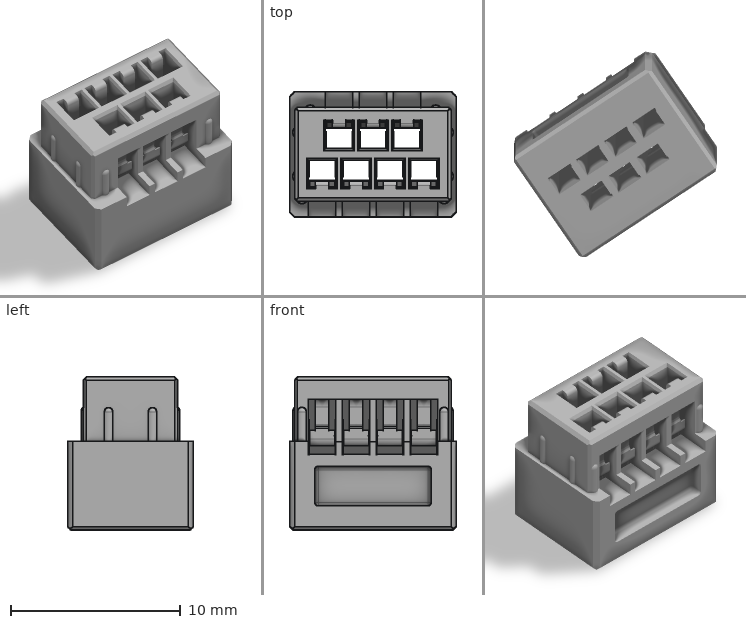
import cadquery as cq

BASE_X = 9.8
BASE_Y = 7.4
BASE_Z = 5.24
TOTAL_Z = 9.05
BASE_CORNER_CHAMFER = 0.29
BASE_BOTTOM_CHAMFER = 0.21
UPPER_X = 9.22
UPPER_Y = 5.54
UPPER_CORNER_CHAMFER = 0.17
UPPER_TOP_CHAMFER = 0.21

PITCH = 2.0
FRONT_COUNT = 4
BACK_COUNT = 3

SLOT_WIDTH = 1.63
SLOT_FLOOR_Z = 4.46
SLOT_CEILING_Z = 7.7
SLOT_INNER_Y = 1.32
POST_FACE_Y = 2.48
RIB_TOP_Z = 5.2

WINDOW_FLARE = 0.09
WINDOW_FLARE_Y = 0.14
WINDOW_FLARE_DEPTH = 0.2
CELL_INNER_Y = 0.35
CELL_OUTER_Y = 2.02
CELL_STEP = 0.05
CELL_STEP_Z = 6.5

TONGUE_WIDTH = 0.79
TONGUE_INNER_Y = 1.58
TONGUE_OUTER_Y = 1.85
TONGUE_TOP_RADIUS = 0.245
TONGUE_ROOT_RADIUS = 0.44
HOOK_WIDTH = 1.47
HOOK_INNER_Y = 1.53
HOOK_OUTER_Y = 1.99
HOOK_TOP_Z = 5.88
HOOK_BOTTOM_Z = 4.97
HOOK_RADIUS = 0.4
HOOK_RIDGE_Y = 1.9
HOOK_SLOPE = HOOK_RIDGE_Y - TONGUE_INNER_Y
STEP_TOP_Z = 6.23
STEP_MIDDLE_Y = 1.89
STEP_MIDDLE_Z = 6.11
STEP_BOTTOM_Z = 5.99

PIN_RADIUS = 0.3
PIN_PROUD_X = 0.12
PIN_PROUD_Y = 0.14
PIN_SHOULDER_Z = 6.98
FRONT_PIN_X = 4.18
BACK_PIN_X = 3.68
SIDE_PIN_Y = 1.29

POCKET_X = 6.84
POCKET_BOTTOM_Z = 1.43
POCKET_TOP_Z = 3.77
POCKET_DEPTH = 0.8
POCKET_RADIUS = 0.21


def block(x_range, y_range, z_range):
    """Box given by its lower and upper limits on each axis."""
    size = [high - low for low, high in (x_range, y_range, z_range)]
    corner = (x_range[0], y_range[0], z_range[0])
    return cq.Workplane("XY").box(*size, centered=False).translate(corner)


def centred_block(width, y_range, z_range):
    return block((-width / 2, width / 2), y_range, z_range)


def extrude_profile(profile, width):
    """Extrude a YZ profile equally to both sides of X = 0."""
    return profile.close().extrude(width / 2, both=True)


def make_base():
    base = cq.Workplane("XY").box(BASE_X, BASE_Y, BASE_Z, centered=(True, True, False))
    base = base.faces("<Z").edges().chamfer(BASE_BOTTOM_CHAMFER)
    return base.edges("|Z").chamfer(BASE_CORNER_CHAMFER)


def make_upper():
    upper = cq.Workplane("XY").box(UPPER_X, UPPER_Y, TOTAL_Z, centered=(True, True, False))
    upper = upper.faces(">Z").edges().chamfer(UPPER_TOP_CHAMFER)
    upper = upper.edges("|Z").chamfer(UPPER_CORNER_CHAMFER)
    return upper.intersect(centred_block(BASE_X, (-BASE_Y, BASE_Y), (BASE_Z / 2, TOTAL_Z)))


def make_pin(x, y):
    """Upright round rib with a domed tip."""
    shaft = cq.Workplane("XY").workplane(offset=BASE_Z / 2).circle(PIN_RADIUS)
    shaft = shaft.extrude(PIN_SHOULDER_Z - BASE_Z / 2)
    dome = cq.Workplane("XY").sphere(PIN_RADIUS).translate((0, 0, PIN_SHOULDER_Z))
    return shaft.union(dome).translate((x, y, 0))


def make_pins():
    wall_x = UPPER_X / 2 + PIN_PROUD_X - PIN_RADIUS
    wall_y = UPPER_Y / 2 + PIN_PROUD_Y - PIN_RADIUS
    pins = []
    for side in (-1, 1):
        pins.append(make_pin(side * FRONT_PIN_X, -wall_y))
        pins.append(make_pin(side * BACK_PIN_X, wall_y))
        for y in (-SIDE_PIN_Y, SIDE_PIN_Y):
            pins.append(make_pin(side * wall_x, y))
    return pins


def make_tongue():
    """Tongue and hook of one front cell, centred on X = 0."""
    root_y = -CELL_OUTER_Y
    strip = extrude_profile(
        cq.Workplane("YZ")
        .moveTo(root_y, TOTAL_Z)
        .lineTo(-TONGUE_INNER_Y - TONGUE_TOP_RADIUS, TOTAL_Z)
        .radiusArc((-TONGUE_INNER_Y, TOTAL_Z - TONGUE_TOP_RADIUS), TONGUE_TOP_RADIUS)
        .lineTo(-TONGUE_INNER_Y, HOOK_BOTTOM_Z + HOOK_RADIUS)
        .lineTo(-HOOK_OUTER_Y, HOOK_BOTTOM_Z + HOOK_RADIUS)
        .lineTo(-HOOK_OUTER_Y, STEP_BOTTOM_Z)
        .lineTo(-STEP_MIDDLE_Y, STEP_MIDDLE_Z)
        .lineTo(-TONGUE_OUTER_Y, STEP_TOP_Z)
        .lineTo(-TONGUE_OUTER_Y, SLOT_CEILING_Z - TONGUE_ROOT_RADIUS)
        .radiusArc((-TONGUE_OUTER_Y - TONGUE_ROOT_RADIUS, SLOT_CEILING_Z), -TONGUE_ROOT_RADIUS)
        .lineTo(-TONGUE_OUTER_Y - TONGUE_ROOT_RADIUS, SLOT_CEILING_Z + TONGUE_ROOT_RADIUS)
        .lineTo(root_y, SLOT_CEILING_Z + TONGUE_ROOT_RADIUS),
        TONGUE_WIDTH,
    )
    hook = extrude_profile(
        cq.Workplane("YZ")
        .moveTo(-HOOK_OUTER_Y, HOOK_TOP_Z)
        .lineTo(-HOOK_RIDGE_Y, HOOK_TOP_Z)
        .lineTo(-HOOK_RIDGE_Y + HOOK_SLOPE, HOOK_TOP_Z - HOOK_SLOPE)
        .lineTo(-HOOK_INNER_Y, HOOK_TOP_Z - HOOK_SLOPE)
        .lineTo(-HOOK_INNER_Y, HOOK_BOTTOM_Z)
        .lineTo(-HOOK_OUTER_Y + HOOK_RADIUS, HOOK_BOTTOM_Z)
        .radiusArc((-HOOK_OUTER_Y, HOOK_BOTTOM_Z + HOOK_RADIUS), HOOK_RADIUS),
        HOOK_WIDTH,
    )
    return strip.union(hook)


def make_window_flare():
    """Lead-in around the top of a front cell, straight on the tongue side."""
    flare = (
        cq.Workplane("XY")
        .workplane(offset=TOTAL_Z)
        .rect(SLOT_WIDTH + 2 * WINDOW_FLARE, 2 * (CELL_OUTER_Y - CELL_INNER_Y + WINDOW_FLARE_Y))
        .workplane(offset=-WINDOW_FLARE_DEPTH)
        .rect(SLOT_WIDTH, 2 * (CELL_OUTER_Y - CELL_INNER_Y))
        .loft(ruled=True)
        .translate((0, -CELL_OUTER_Y, 0))
    )
    reach = centred_block(BASE_X, (-CELL_OUTER_Y, 0), (0, TOTAL_Z))
    return flare.intersect(reach)


def make_cavity():
    """Everything removed for one front terminal, leaving its tongue and hook in place."""
    slot = centred_block(SLOT_WIDTH, (-BASE_Y / 2, -SLOT_INNER_Y), (SLOT_FLOOR_Z, SLOT_CEILING_Z))
    upper_cell = centred_block(SLOT_WIDTH, (-CELL_OUTER_Y, -CELL_INNER_Y), (CELL_STEP_Z, TOTAL_Z))
    lower_cell = centred_block(
        SLOT_WIDTH - 2 * CELL_STEP,
        (-HOOK_INNER_Y, -CELL_INNER_Y),
        (0, CELL_STEP_Z),
    )
    step_cell = centred_block(SLOT_WIDTH, (-HOOK_INNER_Y, -SLOT_INNER_Y), (0, CELL_STEP_Z))
    cavity = slot.union(upper_cell).union(lower_cell).union(step_cell)
    return cavity.union(make_window_flare()).cut(make_tongue())


def make_row(count):
    """All cavities of a front row, joined by the recess in front of the posts."""
    span = (count - 1) * PITCH
    recess = centred_block(span + SLOT_WIDTH, (-BASE_Y / 2, -POST_FACE_Y), (RIB_TOP_Z, SLOT_CEILING_Z))
    cavity = make_cavity()
    row = recess
    for index in range(count):
        row = row.union(cavity.translate((index * PITCH - span / 2, 0, 0)))
    return row


def make_pocket():
    """Rounded recess in the front face of the base."""
    face_y = -BASE_Y / 2
    pocket = centred_block(
        POCKET_X,
        (face_y - POCKET_DEPTH, face_y + POCKET_DEPTH),
        (POCKET_BOTTOM_Z, POCKET_TOP_Z),
    )
    return pocket.edges("|Y or >Y").fillet(POCKET_RADIUS)


result = make_base().union(make_upper())
for pin in make_pins():
    result = result.union(pin)
result = result.cut(make_row(FRONT_COUNT))
result = result.cut(make_row(BACK_COUNT).rotate((0, 0, 0), (0, 0, 1), 180))
result = result.cut(make_pocket())